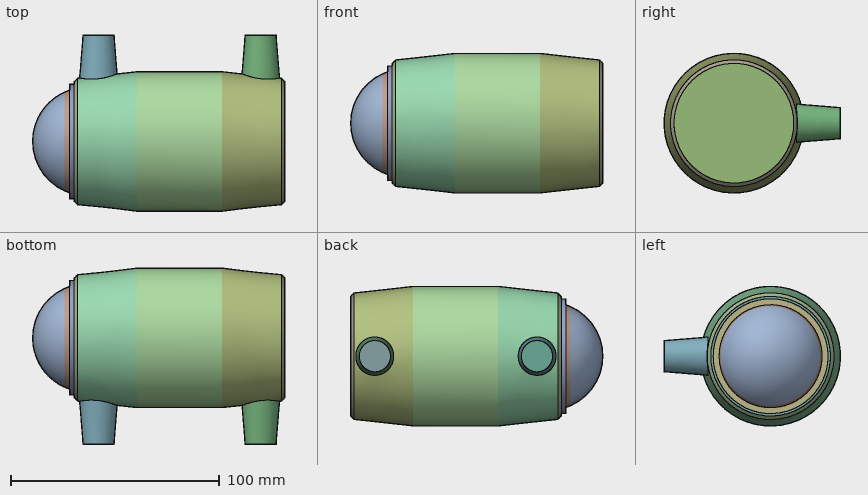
import cadquery as cq
import math

total_length = 120.8
body_start = 19.9
body_middle = (body_start + total_length) / 2
flange_start = 17.8
dome_edge = 15.5

body_radius = 67.0 / 2
straight_length = 40.7
end_radius = 30.3
end_chamfer = 1.7

flange_radius = 55.0 / 2
dome_edge_radius = 47.5 / 2
dome_base_radius = 24.6

nozzle_spacing = 77.6
nozzle_tip_y = 51.0
nozzle_tip_radius = 7.5
nozzle_base_y = 24.2
nozzle_half_angle = 4.6


def make_body():
    straight_start = body_middle - straight_length / 2
    straight_end = body_middle + straight_length / 2
    taper_start = body_start + end_chamfer
    taper_end = total_length - end_chamfer
    face_radius = end_radius - end_chamfer
    return (
        cq.Workplane("XY")
        .moveTo(body_start, 0)
        .lineTo(body_start, face_radius)
        .lineTo(taper_start, end_radius)
        .lineTo(straight_start, body_radius)
        .lineTo(straight_end, body_radius)
        .lineTo(taper_end, end_radius)
        .lineTo(total_length, face_radius)
        .lineTo(total_length, 0)
        .close()
        .revolve(360, (0, 0, 0), (1, 0, 0))
    )


def make_dome_and_flange():
    sphere_radius = (dome_edge_radius**2 + dome_edge**2) / (2 * dome_edge)
    arc_x = dome_edge / 3
    arc_radius = math.sqrt(2 * sphere_radius * arc_x - arc_x**2)
    return (
        cq.Workplane("XY")
        .moveTo(0, 0)
        .threePointArc((arc_x, arc_radius), (dome_edge, dome_edge_radius))
        .lineTo(flange_start, dome_base_radius)
        .lineTo(flange_start, flange_radius)
        .lineTo(body_start, flange_radius)
        .lineTo(body_start, 0)
        .close()
        .revolve(360, (0, 0, 0), (1, 0, 0))
    )


def make_nozzle(center_x):
    nozzle_length = nozzle_tip_y - nozzle_base_y
    base_radius = nozzle_tip_radius + nozzle_length * math.tan(math.radians(nozzle_half_angle))
    cone = cq.Solid.makeCone(
        base_radius,
        nozzle_tip_radius,
        nozzle_length,
        cq.Vector(center_x, nozzle_base_y, 0),
        cq.Vector(0, 1, 0),
    )
    return cq.Workplane(cone)


result = make_body().union(make_dome_and_flange())
for side in (-1, 1):
    result = result.union(make_nozzle(body_middle + side * nozzle_spacing / 2))